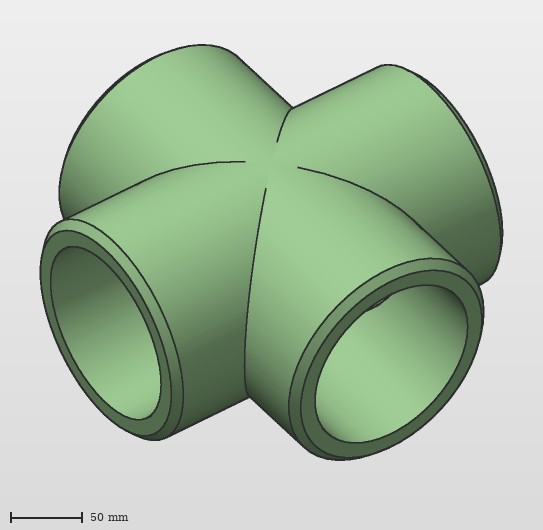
import cadquery as cq

length = 285.5
outer_diameter = 168.2
bore_diameter = 131.5
end_chamfer = 6.0


def centred_cylinder(plane, diameter):
    """Full-length cylinder along the normal of the plane, centred on the origin."""
    return cq.Workplane(plane).circle(diameter / 2).extrude(length / 2, both=True)


def pipe_body(plane):
    """Solid run of the cross with both outer end edges chamfered."""
    return centred_cylinder(plane, outer_diameter).edges("%CIRCLE").chamfer(end_chamfer)


body = pipe_body("YZ").union(pipe_body("XZ"))
bores = centred_cylinder("YZ", bore_diameter).union(centred_cylinder("XZ", bore_diameter))

result = body.cut(bores)